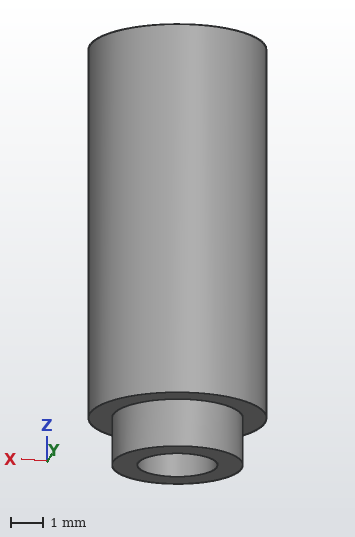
import cadquery as cq

total_length = 13.53
body_diameter = 5.56
spigot_diameter = 4.09
bore_diameter = 2.5
spigot_length = 1.53
body_length = total_length - spigot_length

spigot = cq.Workplane("XY").circle(spigot_diameter / 2).extrude(spigot_length)

body = (
    cq.Workplane("XY")
    .workplane(offset=spigot_length)
    .circle(body_diameter / 2)
    .extrude(body_length)
)

bore = cq.Workplane("XY").circle(bore_diameter / 2).extrude(total_length)

result = spigot.union(body).cut(bore)